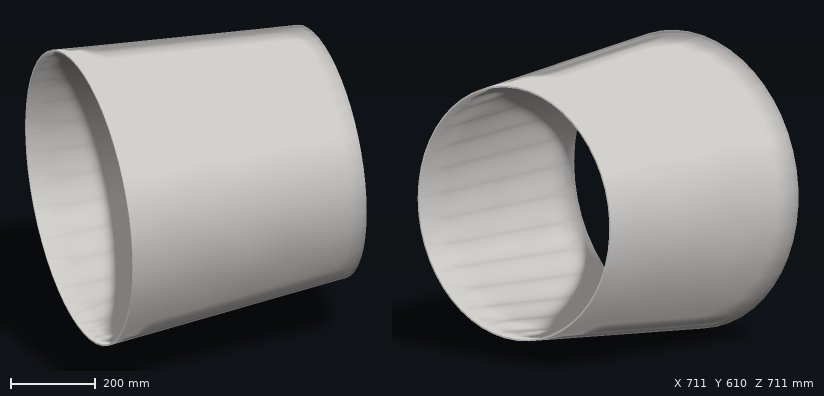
import cadquery as cq

wide_diameter = 711.0
narrow_diameter = 608.0
length = 610.0
wall = 4.0

wide_radius = wide_diameter / 2
narrow_radius = narrow_diameter / 2
front_y = -length / 2
back_y = length / 2

wall_section = (
    cq.Workplane("XY")
    .moveTo(wide_radius - wall, front_y)
    .lineTo(wide_radius, front_y)
    .lineTo(narrow_radius, back_y)
    .lineTo(narrow_radius - wall, back_y)
    .close()
)

result = wall_section.revolve(360, (0, 0, 0), (0, 1, 0))